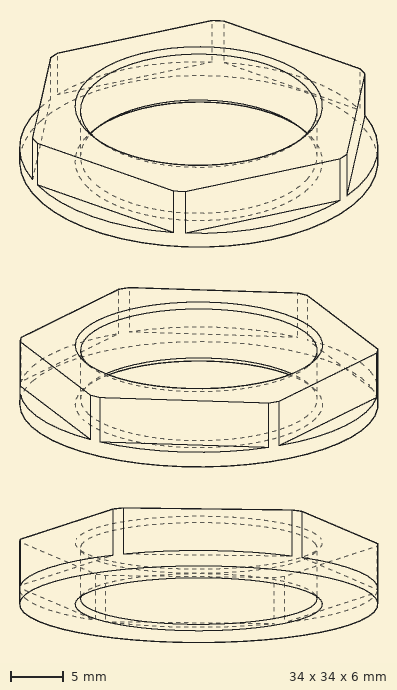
import cadquery as cq

outer_diameter = 34.0
total_height = 6.0
flange_height = 1.5
hex_across_flats = 30.0
bore_diameter = 22.45
bore_chamfer = 0.5

HEX_SIDES = 6


def make_disc(height):
    """Round disc of the outer diameter, standing on the base plane."""
    return cq.Workplane("XY").circle(outer_diameter / 2).extrude(height)


def make_hexagon():
    """Hexagon with flats facing +X and -X, its corners rounded to the outer diameter."""
    prism = (
        cq.Workplane("XY")
        .polygon(HEX_SIDES, hex_across_flats, circumscribed=True)
        .extrude(total_height)
    )
    return prism.intersect(make_disc(total_height))


def make_bore():
    """Through bore with a 45 degree chamfer at both ends."""
    bore_radius = bore_diameter / 2
    mouth_radius = bore_radius + bore_chamfer
    return (
        cq.Workplane("XZ")
        .moveTo(0, 0)
        .lineTo(mouth_radius, 0)
        .lineTo(bore_radius, bore_chamfer)
        .lineTo(bore_radius, total_height - bore_chamfer)
        .lineTo(mouth_radius, total_height)
        .lineTo(0, total_height)
        .close()
        .revolve(360, (0, 0, 0), (0, 1, 0))
    )


flange = make_disc(flange_height)
result = flange.union(make_hexagon()).cut(make_bore())